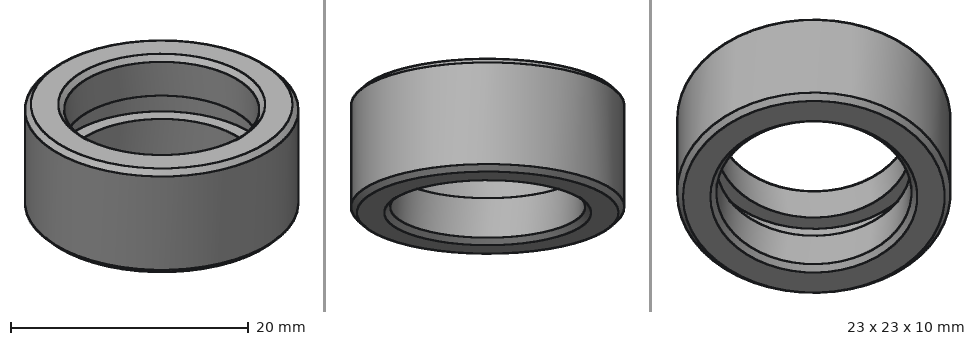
import cadquery as cq

OUTER_DIAMETER = 23.0
BORE_DIAMETER = 16.4
HEIGHT = 10.0
EDGE_CHAMFER = 0.5

GROOVE_DIAMETER = 19.0
GROOVE_BOTTOM = 4.0
GROOVE_WIDTH = 2.25


def make_ring():
    """Plain ring standing on Z = 0, with all four circular edges chamfered."""
    ring = cq.Workplane("XY").circle(OUTER_DIAMETER / 2).circle(BORE_DIAMETER / 2).extrude(HEIGHT)
    return ring.faces("<Z or >Z").edges().chamfer(EDGE_CHAMFER)


def make_groove():
    """Disc that widens the bore into the internal groove."""
    return (
        cq.Workplane("XY")
        .workplane(offset=GROOVE_BOTTOM)
        .circle(GROOVE_DIAMETER / 2)
        .extrude(GROOVE_WIDTH)
    )


result = make_ring().cut(make_groove())